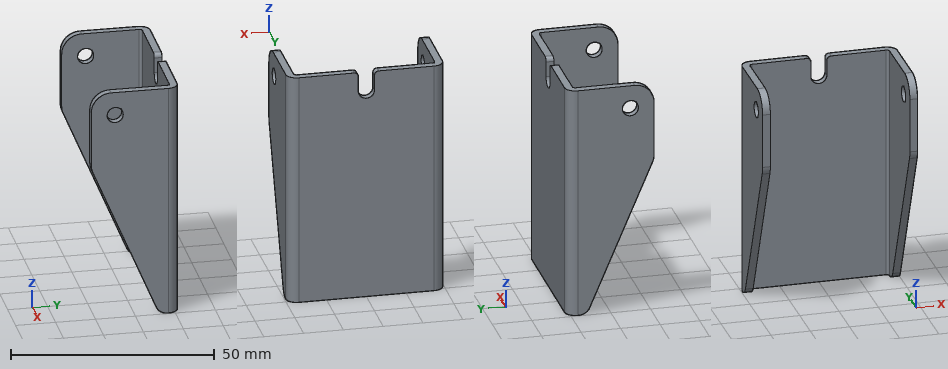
import cadquery as cq

width = 39.4
depth = 22.0
height = 60.0

thickness = 2.0
bend_outer_radius = 2.7
bend_inner_radius = bend_outer_radius - thickness

front_edge_length = 20.0
foot_depth = 5.0
top_corner_radius = 5.0
knee_radius = 5.0
foot_radius = 3.0

hole_diameter = 4.0
hole_inset = 6.0

slot_width = 4.0
slot_depth = 7.0
slot_mouth_radius = 1.1

back_y = depth / 2
front_y = -depth / 2
top_z = height / 2
bottom_z = -height / 2


def bent_channel():
    """U-shaped sheet with rounded bends, open towards -Y."""
    outer = cq.Workplane("XY").box(width, depth, height)
    outer = outer.edges("|Z and >Y").fillet(bend_outer_radius)
    inner = cq.Workplane("XY").box(width - 2 * thickness, depth, height)
    inner = inner.edges("|Z and >Y").fillet(bend_inner_radius)
    return outer.cut(inner.translate((0, -thickness, 0)))


def flange_envelope():
    """Side outline of the flanges, extruded across the full width."""
    knee_z = top_z - front_edge_length
    foot_y = back_y - foot_depth
    envelope = (
        cq.Workplane("YZ")
        .polyline([
            (back_y, bottom_z),
            (back_y, top_z),
            (front_y, top_z),
            (front_y, knee_z),
            (foot_y, bottom_z),
        ])
        .close()
        .extrude(width / 2, both=True)
    )
    corners = [
        (front_y, top_z, top_corner_radius),
        (front_y, knee_z, knee_radius),
        (foot_y, bottom_z, foot_radius),
    ]
    for y, z, radius in corners:
        corner_edge = cq.selectors.NearestToPointSelector((0, y, z))
        envelope = envelope.edges("|X").edges(corner_edge).fillet(radius)
    return envelope


def pivot_holes():
    """One cylinder through both flanges."""
    return (
        cq.Workplane("YZ")
        .center(front_y + hole_inset, top_z - hole_inset)
        .circle(hole_diameter / 2)
        .extrude(width / 2, both=True)
    )


def top_slot():
    """Round-bottomed slot whose mouth flares into the top edge."""
    half_slot = slot_width / 2
    half_mouth = half_slot + slot_mouth_radius
    mouth_z = top_z - slot_mouth_radius
    slot_bottom = top_z - slot_depth
    return (
        cq.Workplane("XZ", origin=(0, back_y, 0))
        .moveTo(-half_mouth, top_z)
        .radiusArc((-half_slot, mouth_z), slot_mouth_radius)
        .lineTo(-half_slot, slot_bottom + half_slot)
        .threePointArc((0, slot_bottom), (half_slot, slot_bottom + half_slot))
        .lineTo(half_slot, mouth_z)
        .radiusArc((half_mouth, top_z), slot_mouth_radius)
        .close()
        .extrude(thickness)
    )


result = bent_channel().intersect(flange_envelope()).cut(pivot_holes()).cut(top_slot())